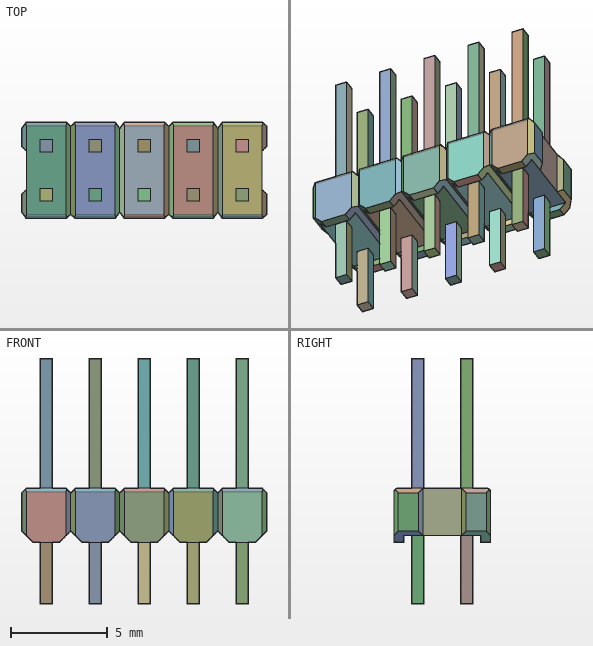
import cadquery as cq

COLUMNS = 5
ROWS = 2
PITCH = 2.54
PIN_SIDE = 0.64
PIN_LENGTH = 12.7

BODY_DEPTH = 5.0
BODY_TOP = 6.0
SLAB_HEIGHT = 2.46
FOOT_HEIGHT = 0.34
FOOT_DEPTH = 0.51
TOP_FILLET = 0.2

BEVEL_WIDTH = 0.24
TOP_BEVEL_DROP = 0.24
DEEP_CORNER_BEVEL = 0.33
SHALLOW_CORNER_BEVEL = 0.22
BOTTOM_BEVEL = 0.58

RECESS_DEPTH = BEVEL_WIDTH
RECESS_FLOOR_WIDTH = 2.0
RECESS_MOUTH_WIDTH = RECESS_FLOOR_WIDTH + 2 * BEVEL_WIDTH

BODY_LENGTH = COLUMNS * PITCH
SLAB_BOTTOM = BODY_TOP - SLAB_HEIGHT
BODY_BOTTOM = SLAB_BOTTOM - FOOT_HEIGHT
BODY_HEIGHT = BODY_TOP - BODY_BOTTOM


def centered_places(count):
    """Places of `count` items one pitch apart, centred on zero."""
    return [(index - (count - 1) / 2) * PITCH for index in range(count)]


def make_block():
    """One bevelled block, centred on the Z axis, with its deep corner bevels on the -X side."""
    half_width = PITCH / 2
    half_depth = BODY_DEPTH / 2
    shoulder = half_width - BEVEL_WIDTH
    sole = half_width - BOTTOM_BEVEL
    elevation = [
        (-sole, BODY_BOTTOM),
        (sole, BODY_BOTTOM),
        (half_width, BODY_BOTTOM + BOTTOM_BEVEL),
        (half_width, BODY_TOP - TOP_BEVEL_DROP),
        (shoulder, BODY_TOP),
        (-shoulder, BODY_TOP),
        (-half_width, BODY_TOP - TOP_BEVEL_DROP),
        (-half_width, BODY_BOTTOM + BOTTOM_BEVEL),
    ]
    deep_side = half_depth - DEEP_CORNER_BEVEL
    shallow_side = half_depth - SHALLOW_CORNER_BEVEL
    plan = [
        (-shoulder, -half_depth),
        (shoulder, -half_depth),
        (half_width, -shallow_side),
        (half_width, shallow_side),
        (shoulder, half_depth),
        (-shoulder, half_depth),
        (-half_width, deep_side),
        (-half_width, -deep_side),
    ]
    bar = cq.Workplane("XZ").polyline(elevation).close().extrude(half_depth, both=True)
    rounded_depth = (
        cq.Workplane("XY")
        .box(PITCH, BODY_DEPTH, BODY_HEIGHT, centered=(True, True, False))
        .translate((0, 0, BODY_BOTTOM))
        .edges("|X and >Z")
        .fillet(TOP_FILLET)
    )
    column = cq.Workplane("XY").workplane(offset=BODY_BOTTOM).polyline(plan).close().extrude(BODY_HEIGHT)
    return bar.intersect(rounded_depth).intersect(column)


def make_underside_channel():
    """Lengthwise channel that leaves a foot along each long side."""
    return (
        cq.Workplane("XY")
        .box(BODY_LENGTH, BODY_DEPTH - 2 * FOOT_DEPTH, FOOT_HEIGHT, centered=(True, True, False))
        .translate((0, 0, BODY_BOTTOM))
    )


def make_end_recess(direction):
    """Vertical recess with sloping flanks in the end wall at -X or +X."""
    wall = direction * BODY_LENGTH / 2
    floor = wall - direction * RECESS_DEPTH
    outline = [
        (wall, -RECESS_MOUTH_WIDTH / 2),
        (floor, -RECESS_FLOOR_WIDTH / 2),
        (floor, RECESS_FLOOR_WIDTH / 2),
        (wall, RECESS_MOUTH_WIDTH / 2),
    ]
    return cq.Workplane("XY").workplane(offset=BODY_BOTTOM).polyline(outline).close().extrude(BODY_HEIGHT)


block = make_block()
mirrored_block = block.mirror("YZ")
housing = cq.Workplane("XY")
for index, x in enumerate(centered_places(COLUMNS)):
    next_block = block if index % 2 == 0 else mirrored_block
    housing = housing.union(next_block.translate((x, 0, 0)))
housing = housing.cut(make_underside_channel())
for end in (-1, 1):
    housing = housing.cut(make_end_recess(end))

pin_places = [(x, y) for x in centered_places(COLUMNS) for y in centered_places(ROWS)]
pins = cq.Workplane("XY").pushPoints(pin_places).rect(PIN_SIDE, PIN_SIDE).extrude(PIN_LENGTH)

result = housing.union(pins)